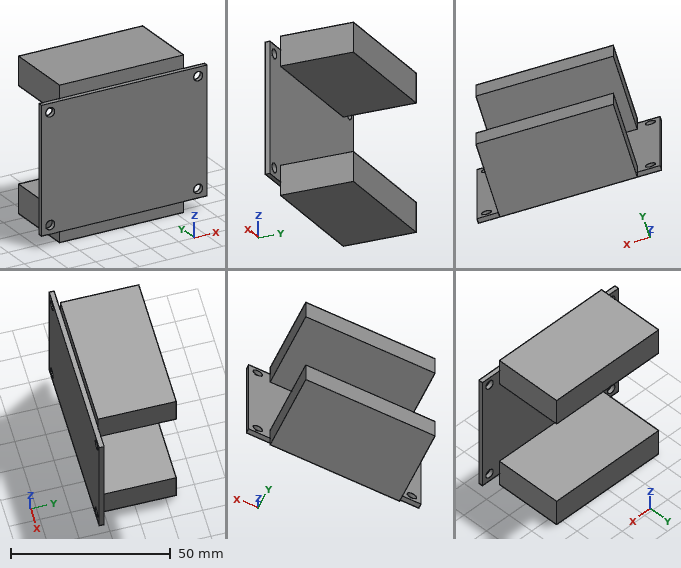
import cadquery as cq

plate_width = 60.0
plate_height = 45.0
plate_thickness = 1.6

hole_diameter = 3.2
hole_side_inset = 3.2
hole_edge_inset = 3.1
hole_spacing_x = plate_width - 2 * hole_side_inset
hole_spacing_z = plate_height - 2 * hole_edge_inset

total_depth = 27.0
total_height = 54.2
block_width = 45.0
block_height = 10.2
block_depth = total_depth - plate_thickness
block_center_z = (total_height - block_height) / 2


def make_plate():
    """Plate with its front face at Y = 0 and a hole near each corner."""
    plate = cq.Workplane("XY").box(
        plate_width, plate_thickness, plate_height, centered=(True, False, True)
    )
    holes = (
        cq.Workplane("XZ")
        .rect(hole_spacing_x, hole_spacing_z, forConstruction=True)
        .vertices()
        .circle(hole_diameter / 2)
        .extrude(-plate_thickness)
    )
    return plate.cut(holes)


def make_block(center_z):
    """Plain block starting at the back face of the plate."""
    return (
        cq.Workplane("XY")
        .box(block_width, block_depth, block_height, centered=(True, False, True))
        .translate((0, plate_thickness, center_z))
    )


result = make_plate()
for side in (-1, 1):
    result = result.union(make_block(side * block_center_z))